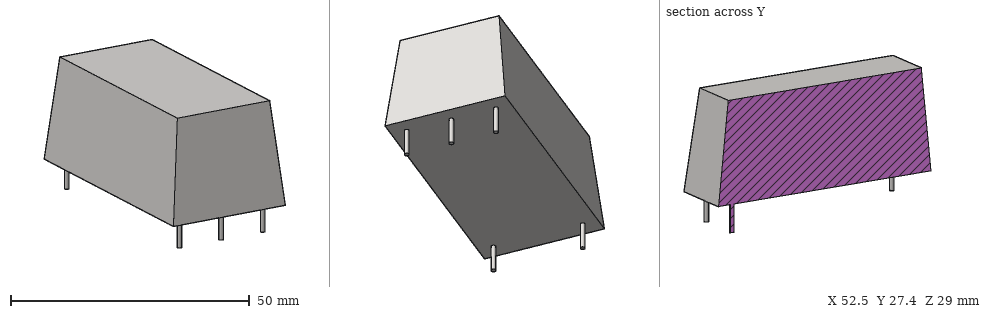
import cadquery as cq
import math

case_length = 52.5
case_width = 27.4
total_height = 29.0
draft_angle = 6.0

pin_diameter = 1.0
pin_length = 6.15
pin_row_spacing = 45.75
pin_pitch = 10.2

case_height = total_height - pin_length
draft_inset = case_height * math.tan(math.radians(draft_angle))


def make_case():
    """Block with all four side walls leaning inward, bottom at Z = 0."""
    return (
        cq.Workplane("XY")
        .rect(case_length, case_width)
        .workplane(offset=case_height)
        .rect(case_length - 2 * draft_inset, case_width - 2 * draft_inset)
        .loft(ruled=True)
    )


def make_pins():
    """Two pins in the -X row and three in the +X row."""
    row_x = pin_row_spacing / 2
    two_pin_row = [(-row_x, side * pin_pitch) for side in (-1, 1)]
    three_pin_row = [(row_x, step * pin_pitch) for step in (-1, 0, 1)]
    return (
        cq.Workplane("XY")
        .pushPoints(two_pin_row + three_pin_row)
        .circle(pin_diameter / 2)
        .extrude(-pin_length)
    )


result = make_case().union(make_pins())